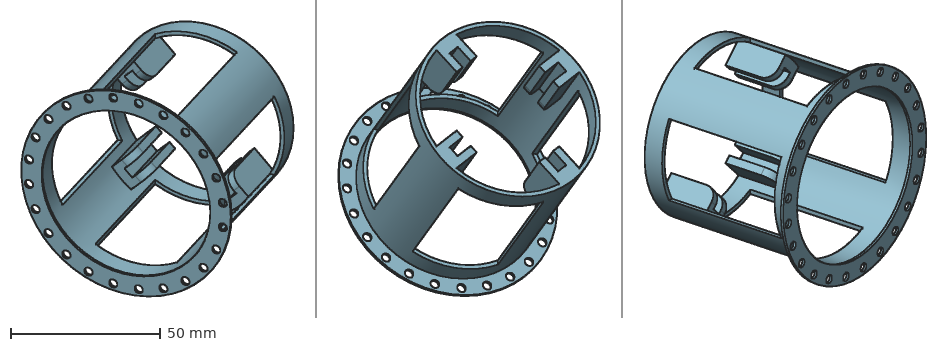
import cadquery as cq

flange_diameter = 77.0
flange_thickness = 1.0
total_length = 64.0
cage_outer_diameter = 65.0
cage_inner_diameter = 62.0
cage_length = total_length - flange_thickness

hole_count = 24
hole_diameter = 3.0
hole_circle_diameter = 71.85
hole_pitch_angle = 360 / hole_count

window_width = 30.0
end_ring_length = 7.5
window_length = cage_length - 2 * end_ring_length

lug_width = 10.0
lug_length = 20.0
lug_tip_radius = 20.55
lug_corner_radius = 5.0
lug_slot_width = 4.0
lug_slot_floor_radius = 27.0
lug_angles = (45, 135, 225, 315)


def cylinder_along_y(diameter, start, length):
    """Solid cylinder on the Y axis, from Y = start to Y = start + length."""
    return cq.Workplane("XZ", origin=(0, start, 0)).circle(diameter / 2).extrude(-length)


def tube_along_y(outer_diameter, inner_diameter, start, length):
    outside = cylinder_along_y(outer_diameter, start, length)
    return outside.cut(cylinder_along_y(inner_diameter, start, length))


def make_flange():
    """Flat ring with evenly spaced holes, straddling the X and Z axes."""
    ring = tube_along_y(flange_diameter, cage_inner_diameter, 0, flange_thickness)
    holes = (
        cq.Workplane("XZ")
        .polarArray(hole_circle_diameter / 2, hole_pitch_angle / 2, 360, hole_count)
        .circle(hole_diameter / 2)
        .extrude(-flange_thickness)
    )
    return ring.cut(holes)


def make_lug():
    """Lug pointing inward from +X, with a rounded front corner and a radial slot."""
    root_radius = (cage_outer_diameter + cage_inner_diameter) / 4
    lug_front = total_length - lug_length
    lug = (
        cq.Workplane("XY")
        .moveTo(root_radius, lug_front)
        .lineTo(root_radius, total_length)
        .lineTo(lug_tip_radius, total_length)
        .lineTo(lug_tip_radius, lug_front + lug_corner_radius)
        .radiusArc((lug_tip_radius + lug_corner_radius, lug_front), -lug_corner_radius)
        .close()
        .extrude(lug_width / 2, both=True)
    )
    slot_depth = lug_slot_floor_radius - lug_tip_radius
    slot = cq.Workplane("XY").box(
        slot_depth, lug_length, lug_slot_width, centered=(False, False, True)
    ).translate((lug_tip_radius, lug_front, 0))
    wall_limit = cylinder_along_y(2 * root_radius, lug_front, lug_length)
    return lug.cut(slot).intersect(wall_limit)


def make_cage():
    """Tube with four windows and a lug on each post between them."""
    cage = tube_along_y(cage_outer_diameter, cage_inner_diameter, flange_thickness, cage_length)
    window_middle = flange_thickness + cage_length / 2
    for width_x, width_z in (
        (cage_outer_diameter, window_width),
        (window_width, cage_outer_diameter),
    ):
        opening = cq.Workplane("XY").box(width_x, window_length, width_z)
        cage = cage.cut(opening.translate((0, window_middle, 0)))
    lug = make_lug()
    for angle in lug_angles:
        cage = cage.union(lug.rotate((0, 0, 0), (0, 1, 0), angle))
    return cage


flange = make_flange()
cage = make_cage()

result = cq.Compound.makeCompound([flange.solids().val(), cage.solids().val()])